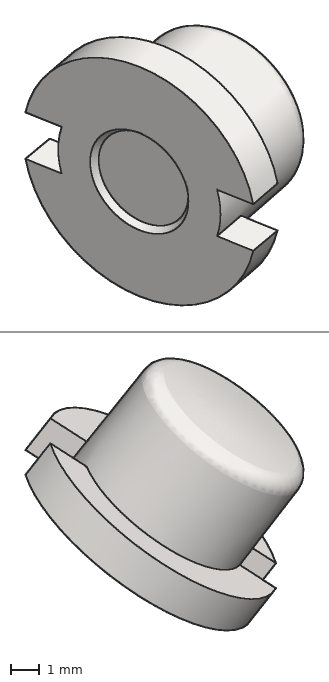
import cadquery as cq
import math

draft_slope = math.tan(math.radians(0.5))

flange_diameter = 9.886
flange_thickness = 1.5
slot_front_width = 2.0
slot_back_width = slot_front_width + 2 * flange_thickness * draft_slope

plug_front_diameter = 6.9
overall_length = 5.75
dome_height = 0.23
tip_radius = 0.6
shoulder_y = overall_length - dome_height
plug_shoulder_radius = plug_front_diameter / 2 - shoulder_y * draft_slope

recess_mouth_diameter = 4.18
recess_floor_diameter = 3.8
recess_depth = 0.25


def revolve_about_y(half_profile):
    return half_profile.close().revolve(360, (0, 0, 0), (0, 1, 0))


def make_plug():
    """Revolve the half profile of the plug, then round the edge of its dome."""
    dome_radius = (plug_shoulder_radius**2 + dome_height**2) / (2 * dome_height)
    dome_center_y = overall_length - dome_radius
    dome_mid_x = plug_shoulder_radius / 2
    dome_mid_y = dome_center_y + math.sqrt(dome_radius**2 - dome_mid_x**2)
    half_profile = (
        cq.Workplane("XY")
        .lineTo(plug_front_diameter / 2, 0)
        .lineTo(plug_shoulder_radius, shoulder_y)
        .threePointArc((dome_mid_x, dome_mid_y), (0, overall_length))
    )
    return revolve_about_y(half_profile).faces(">Y").edges().fillet(tip_radius)


def make_slotted_flange():
    """Disc with a drafted slot right across; the plug refills its middle."""
    disc = cq.Workplane("XZ").circle(flange_diameter / 2).extrude(-flange_thickness)
    slot = (
        cq.Workplane("YZ")
        .moveTo(0, -slot_front_width / 2)
        .lineTo(flange_thickness, -slot_back_width / 2)
        .lineTo(flange_thickness, slot_back_width / 2)
        .lineTo(0, slot_front_width / 2)
        .close()
        .extrude(flange_diameter, both=True)
    )
    return disc.cut(slot)


def make_recess():
    """Cone frustum that narrows from the flange face to the recess floor."""
    half_profile = (
        cq.Workplane("XY")
        .lineTo(recess_mouth_diameter / 2, 0)
        .lineTo(recess_floor_diameter / 2, recess_depth)
        .lineTo(0, recess_depth)
    )
    return revolve_about_y(half_profile)


result = make_slotted_flange().union(make_plug()).cut(make_recess())